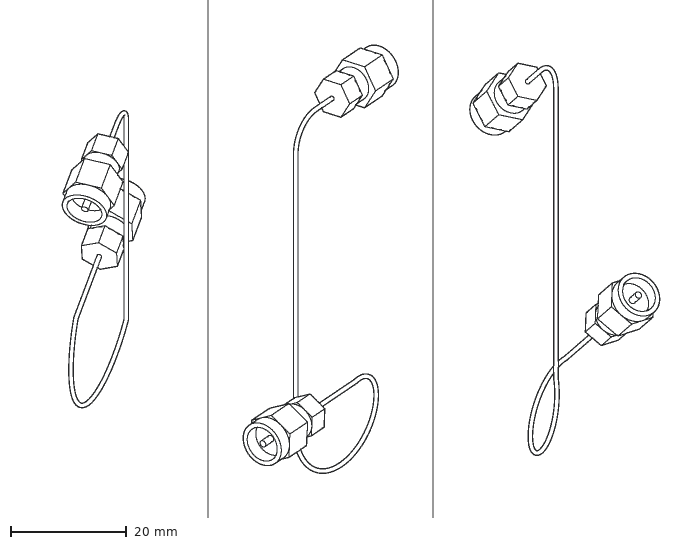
import cadquery as cq
import math

rear_hex_length = 3.9
neck_length = 2.6
nut_hex_length = 5.4
ring_length = 2.5
connector_length = rear_hex_length + neck_length + nut_hex_length + ring_length

rear_hex_flats = 6.4
neck_diameter = rear_hex_flats
nut_hex_flats = 8.0
ring_diameter = nut_hex_flats

socket_diameter = 6.3
socket_depth = 2.6
pin_diameter = 1.2
pin_recess = 0.2

cable_diameter = 0.8
upper_lead = 5.0
bend_radius = 6.1
loop_radius = 9.1
loop_turns = 0.75
loop_shift = 6.4
connector_drop = 52.35
lower_lead = 14.15
lower_roll = 32.3

drop_y = upper_lead + bend_radius
loop_center_y = drop_y - loop_radius
loop_center_z = -connector_drop - loop_radius
lower_face_y = loop_center_y + lower_lead


def across_corners(flats):
    return flats / math.cos(math.radians(30))


def make_connector():
    """Connector facing -Y with its cable face centred on the origin."""
    body = (
        cq.Workplane("XZ")
        .polygon(6, across_corners(rear_hex_flats))
        .extrude(rear_hex_length)
        .faces("<Y").workplane()
        .circle(neck_diameter / 2)
        .extrude(neck_length)
        .faces("<Y").workplane()
        .polygon(6, across_corners(nut_hex_flats))
        .extrude(nut_hex_length)
        .faces("<Y").workplane()
        .circle(ring_diameter / 2)
        .extrude(ring_length)
    )
    socket = (
        cq.Workplane("XZ", origin=(0, -connector_length, 0))
        .circle(socket_diameter / 2)
        .circle(pin_diameter / 2)
        .extrude(-socket_depth)
    )
    pin_clearance = (
        cq.Workplane("XZ", origin=(0, -connector_length, 0))
        .circle(socket_diameter / 2)
        .extrude(-pin_recess)
    )
    return body.cut(socket).cut(pin_clearance)


def make_loop():
    """Three-quarter helical turn about an X axis; its round ends are square to the straight runs."""
    helix = cq.Wire.makeHelix(
        pitch=loop_shift / loop_turns,
        height=loop_shift,
        radius=loop_radius,
    )
    return (
        cq.Workplane("XZ")
        .center(loop_radius, 0)
        .circle(cable_diameter / 2)
        .sweep(cq.Workplane(obj=helix), isFrenet=True)
        .rotate((0, 0, 0), (0, 0, 1), 90)
        .rotate((0, 0, 0), (0, 1, 0), -90)
        .translate((0, loop_center_y, loop_center_z))
    )


def make_cable():
    bend_middle = bend_radius * math.sin(math.radians(45))
    upper_path = (
        cq.Workplane("YZ")
        .lineTo(upper_lead, 0)
        .threePointArc(
            (upper_lead + bend_middle, bend_middle - bend_radius),
            (drop_y, -bend_radius),
        )
        .lineTo(drop_y, loop_center_z)
    )
    upper_run = cq.Workplane("XZ").circle(cable_diameter / 2).sweep(upper_path)
    lower_run = (
        cq.Workplane("XZ", origin=(-loop_shift, loop_center_y, -connector_drop))
        .circle(cable_diameter / 2)
        .extrude(-lower_lead)
    )
    return upper_run.union(make_loop()).union(lower_run)


def place_lower(connector):
    """Face the connector toward +Y, roll it and move it to the end of the lower lead."""
    return (
        connector
        .rotate((0, 0, 0), (0, 0, 1), 180)
        .rotate((0, 0, 0), (0, 1, 0), -lower_roll)
        .translate((-loop_shift, lower_face_y, -connector_drop))
    )


upper_connector = make_connector()
lower_connector = place_lower(make_connector())
cable = make_cable()

result = cq.Compound.makeCompound([upper_connector.val(), lower_connector.val(), cable.val()])